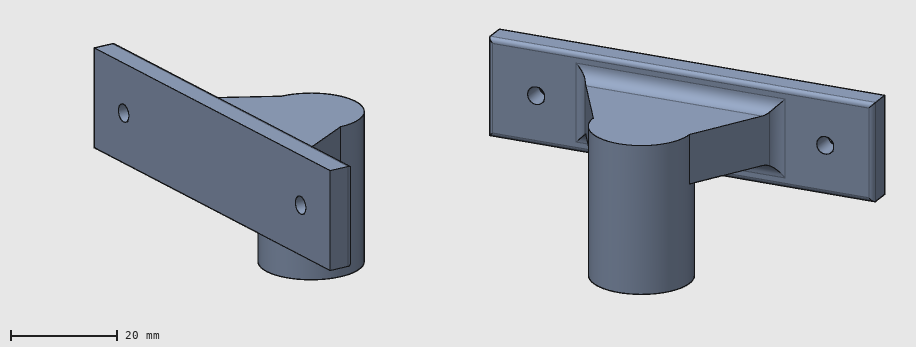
import cadquery as cq
import math

plate_length = 80.0
plate_height = 20.0
plate_thickness = 5.0
rim_radius = 1.0
hole_diameter = 3.5
hole_spacing = 60.0

post_diameter = 20.0
post_radius = post_diameter / 2
overall_depth = 32.3
post_axis_y = overall_depth - post_radius
overall_height = 35.0
post_bottom = plate_height - overall_height

arm_height = plate_height / 2
arm_bottom = (plate_height - arm_height) / 2
arm_top = arm_bottom + arm_height
flare_angle = 30.0
root_fillet = 3.0


def make_plate():
    """Plate with a rounded rim around its back face."""
    return (
        cq.Workplane("XY")
        .box(plate_length, plate_thickness, plate_height, centered=(True, False, False))
        .faces(">Y")
        .edges()
        .fillet(rim_radius)
    )


def make_arm():
    """Trapezoid from the post's full width out to the back of the plate."""
    flare = (post_axis_y - plate_thickness) * math.tan(math.radians(flare_angle))
    root_half_width = post_radius + flare
    return (
        cq.Workplane("XY", origin=(0, 0, arm_bottom))
        .moveTo(-root_half_width, plate_thickness)
        .lineTo(root_half_width, plate_thickness)
        .lineTo(post_radius, post_axis_y)
        .lineTo(-post_radius, post_axis_y)
        .close()
        .extrude(arm_height)
    )


def make_post():
    """Cylinder whose top is flush with the arm and which hangs below the plate."""
    return (
        cq.Workplane("XY", origin=(0, post_axis_y, post_bottom))
        .circle(post_radius)
        .extrude(arm_top - post_bottom)
    )


def make_holes():
    """Cutters for the two through holes in the plate."""
    return (
        cq.Workplane("XZ", origin=(0, 0, plate_height / 2))
        .pushPoints([(-hole_spacing / 2, 0), (hole_spacing / 2, 0)])
        .circle(hole_diameter / 2)
        .extrude(-plate_thickness)
    )


plate_and_arm = make_plate().union(make_arm())

margin = 0.8
tolerance = 0.1
root_zone = cq.selectors.BoxSelector(
    (-plate_length / 2 + rim_radius + margin, plate_thickness - tolerance, arm_bottom - margin),
    (plate_length / 2 - rim_radius - margin, plate_thickness + tolerance, arm_top + margin),
)
plate_and_arm = plate_and_arm.edges(root_zone).fillet(root_fillet)

result = plate_and_arm.union(make_post()).cut(make_holes())